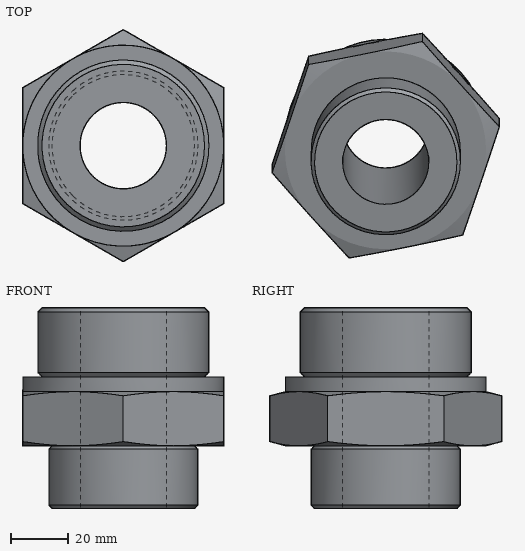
import cadquery as cq
import math

hex_corners = 80.8
hex_flats = hex_corners * math.cos(math.pi / 6)
hex_chamfer_angle = math.radians(15)

hex_bottom = 21.9
collar_bottom = 40.7
collar_top = 45.9
total_height = 70.0

upper_diameter = 59.65
upper_chamfer = 1.5
lower_diameter = 52.0
lower_chamfer = 1.2
bore_diameter = 30.0


def spigot(diameter, chamfer, bottom, top):
    """Cylinder chamfered at both ends."""
    body = cq.Workplane("XY").workplane(offset=bottom).circle(diameter / 2).extrude(top - bottom)
    return body.faces("<Z or >Z").chamfer(chamfer)


def chamfered_hexagon():
    """Hexagon with corners on Y, trimmed by a cone at each end."""
    height = collar_bottom - hex_bottom
    prism = (
        cq.Workplane("XY")
        .workplane(offset=hex_bottom)
        .polygon(6, hex_corners)
        .extrude(height)
        .rotate((0, 0, 0), (0, 0, 1), 90)
    )
    flat_radius = hex_flats / 2
    corner_radius = hex_corners / 2
    drop = (corner_radius - flat_radius) * math.tan(hex_chamfer_angle)
    envelope = (
        cq.Workplane("XZ")
        .moveTo(0, hex_bottom)
        .lineTo(flat_radius, hex_bottom)
        .lineTo(corner_radius, hex_bottom + drop)
        .lineTo(corner_radius, collar_bottom - drop)
        .lineTo(flat_radius, collar_bottom)
        .lineTo(0, collar_bottom)
        .close()
        .revolve(360, (0, 0, 0), (0, 1, 0))
    )
    return prism.intersect(envelope)


collar = (
    cq.Workplane("XY")
    .workplane(offset=collar_bottom)
    .circle(hex_flats / 2)
    .extrude(collar_top - collar_bottom)
)
bore = cq.Workplane("XY").circle(bore_diameter / 2).extrude(total_height)

result = (
    chamfered_hexagon()
    .union(collar)
    .union(spigot(lower_diameter, lower_chamfer, 0, hex_bottom))
    .union(spigot(upper_diameter, upper_chamfer, collar_top, total_height))
    .cut(bore)
)